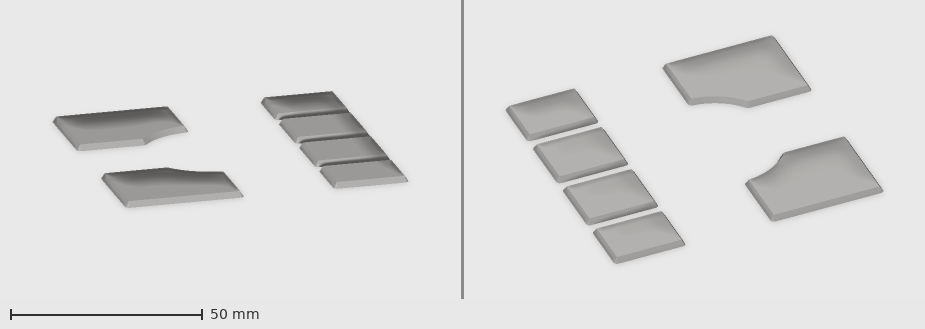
import cadquery as cq
import math

total_width = 71.8
total_length = 76.6
thickness = 1.5
side_angle = 32.0
bevel = thickness * math.tan(math.radians(side_angle))

tile_length = 20.3
inner_tile_width = 16.8
tile_gap = 2.7
outer_tile_width = (total_width - 2 * inner_tile_width - 3 * tile_gap) / 2

plate_width = 25.05
plate_length = 32.0
notch_radius = 18.8
notch_center_rise = 0.45


def bevelled_body(top_outline):
    """Grow a top-face outline downwards, sloping outwards with conical corners."""
    return top_outline.extrude(-thickness, taper=-side_angle)


def make_tile(width, center_x):
    """Rectangular tile whose foot is width by tile_length."""
    center_y = (total_length - tile_length) / 2
    outline = (
        cq.Workplane("XY", origin=(center_x, center_y, thickness))
        .rect(width - 2 * bevel, tile_length - 2 * bevel)
    )
    return bevelled_body(outline)


def make_notched_plate(side):
    """Plate with a circular notch in its inner +Y corner; side is -1 (left) or 1 (right)."""
    outer_x = total_width / 2 - bevel
    inner_x = total_width / 2 - plate_width + bevel
    bottom_y = -total_length / 2 + bevel
    foot_top_y = -total_length / 2 + plate_length
    top_y = foot_top_y - bevel
    notch_y = foot_top_y + notch_center_rise

    start_angle = math.asin((notch_y - top_y) / notch_radius)
    end_angle = math.acos(inner_x / notch_radius)

    def notch_point(angle):
        return (side * notch_radius * math.cos(angle), notch_y - notch_radius * math.sin(angle))

    outline = (
        cq.Workplane("XY", origin=(0, 0, thickness))
        .moveTo(side * outer_x, bottom_y)
        .lineTo(side * outer_x, top_y)
        .lineTo(*notch_point(start_angle))
        .threePointArc(notch_point((start_angle + end_angle) / 2), notch_point(end_angle))
        .lineTo(side * inner_x, bottom_y)
        .close()
    )
    return bevelled_body(outline)


tiles = []
left_x = -total_width / 2
for tile_width in (outer_tile_width, inner_tile_width, inner_tile_width, outer_tile_width):
    tiles.append(make_tile(tile_width, left_x + tile_width / 2).val())
    left_x += tile_width + tile_gap

notched_plates = [make_notched_plate(side).val() for side in (-1, 1)]

result = cq.Compound.makeCompound([*tiles, *notched_plates])